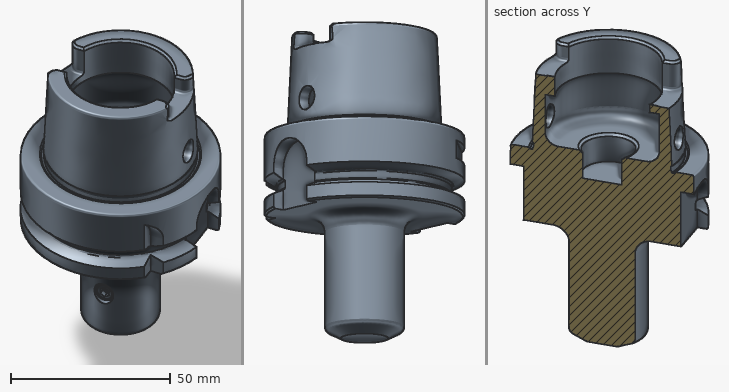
import cadquery as cq
import math

TOTAL_HEIGHT = 97.0
FLANGE_TOP = 65.0
FLANGE_BOTTOM = 39.0

TAPER_BASE_RADIUS = 24.25
TAPER_TOP_RADIUS = 22.8
TAPER_EDGE_FILLET = 1.0
NECK_RADIUS = 23.9
NECK_FOOT_RADIUS = 24.2
NECK_FOOT_TOP = 65.7
NECK_TOP = 66.9
FACE_GROOVE_RADIUS = 25.4
FACE_GROOVE_DEPTH = 0.5

FLANGE_DIAMETER = 63.0
FLANGE_RADIUS = FLANGE_DIAMETER / 2
FLANGE_TOP_FILLET = 1.0
FLANGE_BOTTOM_CHAMFER = 0.6
GROOVE_RADIUS = 27.45
GROOVE_FILLET = 0.6
GROOVE_TOP_EDGE = 50.4
GROOVE_TOP = 48.8
GROOVE_BOTTOM = 45.4
GROOVE_BOTTOM_EDGE = 43.8

SHANK_RADIUS = 12.5
NECK_FILLET = 5.0
TIP_RADIUS = 7.5
TIP_CONE_HEIGHT = 2.5
TIP_FILLET = 2.0

MOUTH_RADIUS = 16.9
RIM_CHAMFER = 0.8
LIP_DEPTH = 12.7
CAVITY_RADIUS = 20.0
CAVITY_DEPTH = 30.0
CAVITY_FLOOR_FILLET = 4.2
CENTER_HOLE_RADIUS = 8.6
CENTER_HOLE_CHAMFER = 0.9
CENTER_HOLE_DEPTH = 9.7

KEY_HALF_WIDTH = 6.2
KEY_CORNER_RADIUS = 3.0
KEY_RELIEF_OFFSET = 21.0
KEY_RELIEF_ANGLE = 27.0
KEY_FLOOR_FILLET = 1.2
KEY_DEPTH_LEFT = 10.0
KEY_DEPTH_RIGHT = 5.9

CROSS_HOLE_RADIUS = 3.8
CROSS_HOLE_DEPTH = 22.9

SLOT_TOP = 60.1
LEFT_SLOT_RADIUS = 8.9
RIGHT_SLOT_RADIUS = 8.05
SLOT_FLOOR_OFFSET = 26.5
NOTCH_FLOOR_OFFSET = 20.0
NOTCH_WALL_OFFSET = 19.8
NOTCH_ARC_RADIUS = 8.05
NOTCH_ARC_CENTER_HEIGHT = 53.1
POCKET_WIDTH = 20.2
POCKET_BOTTOM = 55.3
POCKET_TOP = 61.0
POCKET_ANGLE = 135.0

SCREW_HEIGHT = 18.1
SCREW_RADIUS = 3.0
SCREW_COUNTERSINK_RADIUS = 3.8
SCREW_CHAMFER = 0.5
SCREW_RECESS = 0.9
HEX_ACROSS_FLATS = 3.0
HEX_DEPTH = 1.9
PILOT_RADIUS = 1.0
PILOT_DEPTH = 2.5

EDGE_TOLERANCE = 0.1
CUT_LENGTH = FLANGE_DIAMETER


def make_body():
    """Revolved outside shape: shank, grooved flange and taper."""
    neck_edge = NECK_TOP - (TAPER_BASE_RADIUS - NECK_RADIUS)
    outline = (
        cq.Workplane("XZ")
        .lineTo(TIP_RADIUS, 0)
        .lineTo(SHANK_RADIUS, TIP_CONE_HEIGHT)
        .lineTo(SHANK_RADIUS, FLANGE_BOTTOM - NECK_FILLET)
        .radiusArc((SHANK_RADIUS + NECK_FILLET, FLANGE_BOTTOM), NECK_FILLET)
        .lineTo(FLANGE_RADIUS - FLANGE_BOTTOM_CHAMFER, FLANGE_BOTTOM)
        .lineTo(FLANGE_RADIUS, FLANGE_BOTTOM + FLANGE_BOTTOM_CHAMFER)
        .lineTo(FLANGE_RADIUS, GROOVE_BOTTOM_EDGE)
        .lineTo(GROOVE_RADIUS + GROOVE_FILLET, GROOVE_BOTTOM)
        .radiusArc((GROOVE_RADIUS, GROOVE_BOTTOM + GROOVE_FILLET), GROOVE_FILLET)
        .lineTo(GROOVE_RADIUS, GROOVE_TOP - GROOVE_FILLET)
        .radiusArc((GROOVE_RADIUS + GROOVE_FILLET, GROOVE_TOP), GROOVE_FILLET)
        .lineTo(FLANGE_RADIUS, GROOVE_TOP_EDGE)
        .lineTo(FLANGE_RADIUS, FLANGE_TOP)
        .lineTo(FACE_GROOVE_RADIUS, FLANGE_TOP)
        .lineTo(FACE_GROOVE_RADIUS - FACE_GROOVE_DEPTH, FLANGE_TOP - FACE_GROOVE_DEPTH)
        .lineTo(NECK_FOOT_RADIUS, FLANGE_TOP - FACE_GROOVE_DEPTH)
        .lineTo(NECK_RADIUS, NECK_FOOT_TOP)
        .lineTo(NECK_RADIUS, neck_edge)
        .lineTo(TAPER_BASE_RADIUS, NECK_TOP)
        .lineTo(TAPER_TOP_RADIUS, TOTAL_HEIGHT)
        .lineTo(0, TOTAL_HEIGHT)
        .close()
    )
    body = outline.revolve(360, (0, 0), (0, 1))
    body = fillet_circle(body, SHANK_RADIUS, TIP_CONE_HEIGHT, TIP_FILLET)
    return fillet_circle(body, FLANGE_RADIUS, FLANGE_TOP, FLANGE_TOP_FILLET)


def fillet_circle(body, radius, height, fillet):
    """Fillet the horizontal circular edge of a given radius at a given height."""
    size = radius + fillet
    box = cq.selectors.BoxSelector(
        (-size, -size, height - EDGE_TOLERANCE),
        (size, size, height + EDGE_TOLERANCE),
        boundingbox=True,
    )
    outer = cq.selectors.RadiusNthSelector(-1)
    return body.edges(box).edges(outer).fillet(fillet)


def make_cavity():
    """Stepped bore: narrow lip, wider cavity with a rounded floor, center hole."""
    lip_bottom = TOTAL_HEIGHT - LIP_DEPTH
    floor = TOTAL_HEIGHT - CAVITY_DEPTH
    hole_bottom = floor - CENTER_HOLE_DEPTH
    outline = (
        cq.Workplane("XZ")
        .moveTo(0, hole_bottom)
        .lineTo(CENTER_HOLE_RADIUS, hole_bottom)
        .lineTo(CENTER_HOLE_RADIUS, floor - CENTER_HOLE_CHAMFER)
        .lineTo(CENTER_HOLE_RADIUS + CENTER_HOLE_CHAMFER, floor)
        .lineTo(CAVITY_RADIUS - CAVITY_FLOOR_FILLET, floor)
        .radiusArc((CAVITY_RADIUS, floor + CAVITY_FLOOR_FILLET), -CAVITY_FLOOR_FILLET)
        .lineTo(CAVITY_RADIUS, lip_bottom)
        .lineTo(MOUTH_RADIUS, lip_bottom)
        .lineTo(MOUTH_RADIUS, TOTAL_HEIGHT - RIM_CHAMFER)
        .lineTo(MOUTH_RADIUS + RIM_CHAMFER, TOTAL_HEIGHT)
        .lineTo(0, TOTAL_HEIGHT)
        .close()
    )
    return outline.revolve(360, (0, 0), (0, 1))


def make_key_notch(side, depth):
    """Notch in the taper rim on the -X (side = -1) or +X (side = 1) side."""
    arc_center_x = KEY_RELIEF_OFFSET - KEY_CORNER_RADIUS
    arc_center_y = KEY_HALF_WIDTH + KEY_CORNER_RADIUS
    lean = math.radians(KEY_RELIEF_ANGLE)
    arc_end_x = arc_center_x + KEY_CORNER_RADIUS * math.cos(lean)
    arc_end_y = arc_center_y + KEY_CORNER_RADIUS * math.sin(lean)
    relief_end_x = arc_end_x - (FLANGE_RADIUS - arc_end_y) * math.tan(lean)

    def outline(height):
        return (
            cq.Workplane("XY", origin=(0, 0, height))
            .lineTo(0, KEY_HALF_WIDTH)
            .lineTo(side * arc_center_x, KEY_HALF_WIDTH)
            .threePointArc(
                (side * KEY_RELIEF_OFFSET, arc_center_y),
                (side * arc_end_x, arc_end_y),
            )
            .lineTo(side * relief_end_x, FLANGE_RADIUS)
            .lineTo(side * CUT_LENGTH, FLANGE_RADIUS)
            .lineTo(side * CUT_LENGTH, 0)
            .mirrorX()
        )

    notch = outline(TOTAL_HEIGHT - depth).extrude(depth)
    notch = notch.faces("<Z").edges().fillet(KEY_FLOOR_FILLET)
    rim_flare = outline(TOTAL_HEIGHT - RIM_CHAMFER).extrude(RIM_CHAMFER, taper=-45)
    return notch.union(rim_flare)


def make_drive_slot(side, radius):
    """Round-topped slot across the flange on the -X or +X side."""
    arc_center = SLOT_TOP - radius
    outline = (
        cq.Workplane("YZ", origin=(side * SLOT_FLOOR_OFFSET, 0, 0))
        .moveTo(-radius, FLANGE_BOTTOM)
        .lineTo(-radius, arc_center)
        .threePointArc((0, SLOT_TOP), (radius, arc_center))
        .lineTo(radius, FLANGE_BOTTOM)
        .close()
    )
    return outline.extrude(side * FLANGE_RADIUS)


def make_edge_notch():
    """Notch in the +X, -Y edge of the flange, rounded above its side wall."""
    arc_center = -NOTCH_WALL_OFFSET - NOTCH_ARC_RADIUS
    outline = (
        cq.Workplane("YZ", origin=(NOTCH_FLOOR_OFFSET, 0, 0))
        .moveTo(-NOTCH_WALL_OFFSET, FLANGE_BOTTOM)
        .lineTo(-NOTCH_WALL_OFFSET, NOTCH_ARC_CENTER_HEIGHT)
        .radiusArc((arc_center, NOTCH_ARC_CENTER_HEIGHT + NOTCH_ARC_RADIUS), -NOTCH_ARC_RADIUS)
        .lineTo(arc_center, FLANGE_BOTTOM)
        .close()
    )
    return outline.extrude(FLANGE_RADIUS)


def make_flat_pocket():
    """Shallow flat, open at both ends, in the flange rim midway between -X and +Y."""
    floor_offset = math.sqrt(FLANGE_RADIUS**2 - (POCKET_WIDTH / 2) ** 2)
    pocket = cq.Workplane("XY").box(
        FLANGE_RADIUS, CUT_LENGTH, POCKET_TOP - POCKET_BOTTOM, centered=(False, True, False)
    )
    pocket = pocket.translate((floor_offset, 0, POCKET_BOTTOM))
    return pocket.rotate((0, 0, 0), (0, 0, 1), POCKET_ANGLE)


def make_screw_hole():
    """Countersunk hole on the -Y side, filled by a screw with a hexagon socket."""
    face = SHANK_RADIUS - SCREW_RECESS
    rim_depth = SCREW_COUNTERSINK_RADIUS - SCREW_RADIUS
    cone_start = SHANK_RADIUS - rim_depth
    recess = (
        cq.Workplane("XY")
        .moveTo(0, face)
        .lineTo(SCREW_RADIUS - SCREW_CHAMFER, face)
        .lineTo(SCREW_RADIUS, face - SCREW_CHAMFER)
        .lineTo(SCREW_RADIUS, cone_start)
        .lineTo(SCREW_COUNTERSINK_RADIUS, SHANK_RADIUS)
        .lineTo(0, SHANK_RADIUS)
        .close()
        .revolve(360, (0, 0), (0, 1))
        .rotate((0, 0, 0), (0, 0, 1), 180)
    )
    socket = (
        cq.Workplane("XZ", origin=(0, -face, 0))
        .polygon(6, HEX_ACROSS_FLATS, circumscribed=True)
        .extrude(-HEX_DEPTH)
    )
    pilot = cq.Workplane("XZ", origin=(0, -face, 0)).circle(PILOT_RADIUS).extrude(-PILOT_DEPTH)
    return recess.union(socket).union(pilot).translate((0, 0, SCREW_HEIGHT))


cross_hole = (
    cq.Workplane("YZ")
    .center(0, TOTAL_HEIGHT - CROSS_HOLE_DEPTH)
    .circle(CROSS_HOLE_RADIUS)
    .extrude(FLANGE_RADIUS, both=True)
)

result = make_body().cut(make_cavity())
result = fillet_circle(result, TAPER_TOP_RADIUS, TOTAL_HEIGHT, TAPER_EDGE_FILLET)
result = result.cut(make_key_notch(-1, KEY_DEPTH_LEFT))
result = result.cut(make_key_notch(1, KEY_DEPTH_RIGHT))

result = result.cut(cross_hole)
result = result.cut(make_drive_slot(-1, LEFT_SLOT_RADIUS))
result = result.cut(make_drive_slot(1, RIGHT_SLOT_RADIUS))
result = result.cut(make_edge_notch())
result = result.cut(make_flat_pocket())
result = result.cut(make_screw_hole())